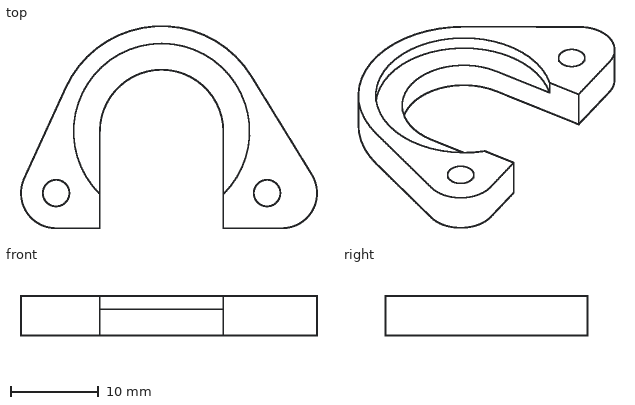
import cadquery as cq
import math

thickness = 4.5
ring_radius = 12.0
recess_radius = 10.0
recess_depth = 1.5
slot_radius = 7.0
front_edge_y = -11.0
ear_radius = 4.0
left_ear_x = -12.0
right_ear_x = 13.68
ear_y = front_edge_y + ear_radius
hole_diameter = 3.0
hole_spacing = 24.0


def tangent_normal(ear_x, side):
    """Unit normal of the line tangent to the ring and an ear (side: 1 right, -1 left)."""
    distance = math.hypot(ear_x, ear_y)
    angle = math.atan2(ear_y, ear_x) + side * math.acos((ring_radius - ear_radius) / distance)
    return math.cos(angle), math.sin(angle)


def offset_point(center, direction, radius):
    return center[0] + radius * direction[0], center[1] + radius * direction[1]


def arc_middle(center, start_normal, end_normal, radius):
    """Middle of the short arc between two unit normals."""
    total_x = start_normal[0] + end_normal[0]
    total_y = start_normal[1] + end_normal[1]
    length = math.hypot(total_x, total_y)
    return offset_point(center, (total_x / length, total_y / length), radius)


ring_center = (0, 0)
left_ear = (left_ear_x, ear_y)
right_ear = (right_ear_x, ear_y)
left_normal = tangent_normal(left_ear_x, -1)
right_normal = tangent_normal(right_ear_x, 1)
down = (0, -1)

plate = (
    cq.Workplane("XY")
    .moveTo(left_ear_x, front_edge_y)
    .lineTo(right_ear_x, front_edge_y)
    .threePointArc(
        arc_middle(right_ear, down, right_normal, ear_radius),
        offset_point(right_ear, right_normal, ear_radius),
    )
    .lineTo(*offset_point(ring_center, right_normal, ring_radius))
    .threePointArc(
        arc_middle(ring_center, right_normal, left_normal, ring_radius),
        offset_point(ring_center, left_normal, ring_radius),
    )
    .lineTo(*offset_point(left_ear, left_normal, ear_radius))
    .threePointArc(
        arc_middle(left_ear, left_normal, down, ear_radius),
        (left_ear_x, front_edge_y),
    )
    .close()
    .extrude(thickness)
)

slot = (
    cq.Workplane("XY")
    .moveTo(-slot_radius, front_edge_y)
    .lineTo(slot_radius, front_edge_y)
    .lineTo(slot_radius, 0)
    .threePointArc((0, slot_radius), (-slot_radius, 0))
    .close()
    .extrude(thickness)
)

recess = (
    cq.Workplane("XY")
    .workplane(offset=thickness - recess_depth)
    .circle(recess_radius)
    .extrude(recess_depth)
)

holes = (
    cq.Workplane("XY")
    .pushPoints([(side * hole_spacing / 2, ear_y) for side in (-1, 1)])
    .circle(hole_diameter / 2)
    .extrude(thickness)
)

result = plate.cut(slot).cut(recess).cut(holes)